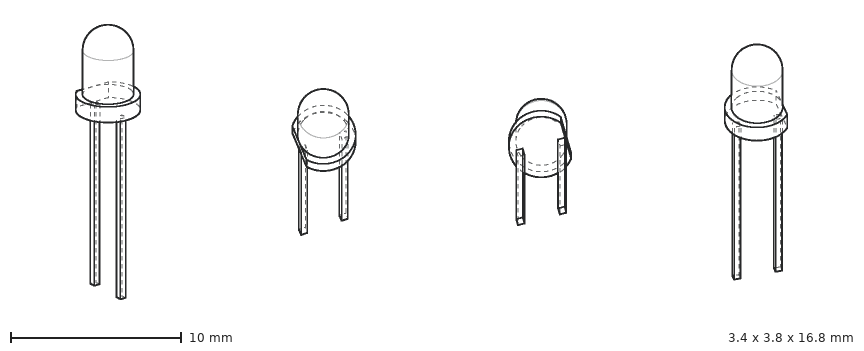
import cadquery as cq

lens_diameter = 3.0
lens_height = 5.3
flange_diameter = 3.8
flange_height = 1.0
lead_pitch = 2.54
lead_width = 0.4
lead_length = 11.5

lens_radius = lens_diameter / 2
flange_radius = flange_diameter / 2
dome_start = lens_height - lens_radius


def make_lens():
    """Round body closed by a hemispherical dome, revolved about Z."""
    dome_mid = lens_radius * 0.5 ** 0.5
    profile = (
        cq.Workplane("XZ")
        .lineTo(lens_radius, 0)
        .lineTo(lens_radius, dome_start)
        .threePointArc((dome_mid, dome_start + dome_mid), (0, lens_height))
        .close()
    )
    return profile.revolve(360, (0, 0, 0), (0, 1, 0))


def make_flange():
    """Round flange with a flat on the -X side, tangent to the lens body."""
    disc = cq.Workplane("XY").circle(flange_radius).extrude(flange_height)
    kept_side = (
        cq.Workplane("XY")
        .box(flange_diameter, flange_diameter, flange_height, centered=(False, True, False))
        .translate((-lens_radius, 0, 0))
    )
    return disc.intersect(kept_side)


def make_leads():
    """Two square leads hanging straight down from the flange."""
    return (
        cq.Workplane("XY")
        .pushPoints([(-lead_pitch / 2, 0), (lead_pitch / 2, 0)])
        .rect(lead_width, lead_width)
        .extrude(-lead_length)
    )


result = make_flange().union(make_lens()).union(make_leads())